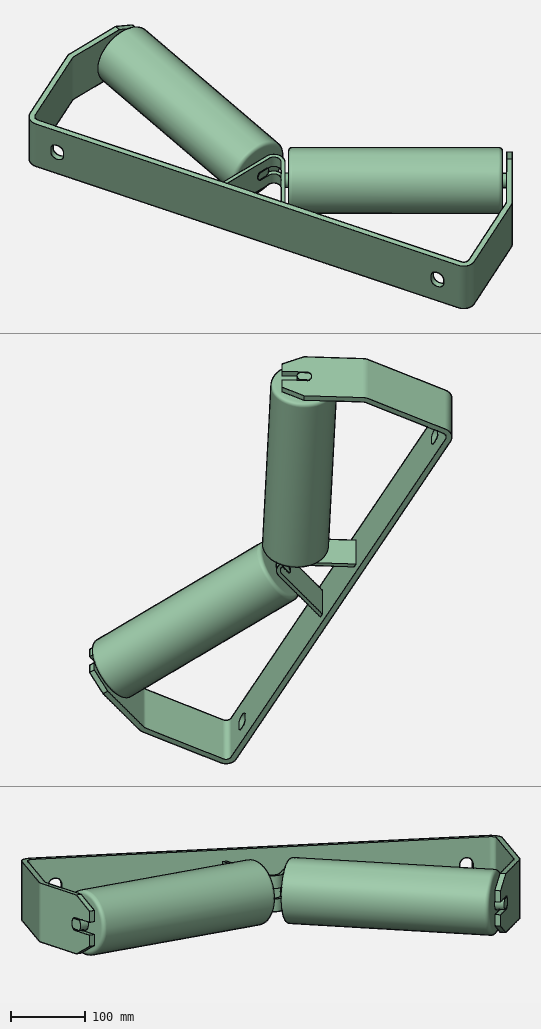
import cadquery as cq
import math

frame_length = 660.0
strip_width = 82.0
tilt = math.radians(25)
cos_tilt = math.cos(tilt)
sin_tilt = math.sin(tilt)

strip_thickness = 8.0
strip_bend_inner = 8.0
strip_bend_outer = strip_bend_inner + strip_thickness
arm_bend_height = 136.5
arm_tip_height = 239.0
tip_chamfer_along = 30.0
tip_chamfer_across = 16.5

mount_slot_inset = 47.5
mount_slot_width = 18.5
mount_slot_height = 26.5

bracket_width = 50.0
bracket_thickness = 5.0
crest_inner_radius = 10.0
crest_outer_radius = crest_inner_radius + bracket_thickness
crest_height = 99.5

roller_diameter = 89.0
roller_length = 288.5
roller_edge_radius = 5.0
roller_center_x = -152.5
roller_center_y = 145.0
shaft_radius = 10.0
shaft_flat_width = 14.5
shaft_recess = 1.0
arm_slot_width = 18.0
slot_reach = 66.0
slot_overrun = 6.5

half_length = frame_length / 2
crest_center_y = crest_height - crest_outer_radius


def along_roller(x, y):
    """Distance of the point (x, y) from the left roller's centre, measured along its axis."""
    return (x - roller_center_x) * cos_tilt - (y - roller_center_y) * sin_tilt


def square_plane(x, y):
    """Workplane at (x, y) facing along the left roller's axis, its own x pointing up the left arm."""
    return cq.Plane(origin=(x, y, 0), xDir=(sin_tilt, cos_tilt, 0), normal=(cos_tilt, -sin_tilt, 0))


def roller_section(distance):
    """Workplane square to the left roller's axis, at a signed distance from its centre."""
    return cq.Workplane(
        square_plane(roller_center_x + distance * cos_tilt, roller_center_y - distance * sin_tilt)
    )


arm_outer_face = along_roller(-half_length, arm_bend_height)
arm_inner_face = arm_outer_face + strip_thickness
leg_outer_face = along_roller(0, crest_center_y) - crest_outer_radius
shaft_inner_end = leg_outer_face + bracket_thickness - shaft_recess


def both_sides(left):
    """The left feature and its mirror image, as two shapes."""
    return [left, left.mirror("YZ")]


def mirrored_outline(left_points):
    """Close a left-hand outline with its mirror image and extrude it over the strip width."""
    right_points = [(-x, y) for x, y in reversed(left_points)]
    outline = cq.Workplane("XY").polyline(left_points + right_points).close()
    return outline.extrude(strip_width / 2, both=True)


def round_corners(body, corners, radius):
    """Round the upright edges at the given corners and at their mirror images."""
    for x, y in corners:
        for side in (1, -1):
            edge = cq.selectors.NearestToPointSelector((side * x, y, 0))
            body = body.edges("|Z").edges(edge).fillet(radius)
    return body


def plate_slot(start, length, width):
    """Open slot for the left shaft, through a plate that lies across the roller axis."""
    half_width = width / 2
    corner_depth = math.sqrt(shaft_radius**2 - half_width**2)
    return (
        roller_section(start)
        .moveTo(slot_reach, half_width)
        .lineTo(-corner_depth, half_width)
        .threePointArc((-shaft_radius, 0), (-corner_depth, -half_width))
        .lineTo(slot_reach, -half_width)
        .close()
        .extrude(length)
    )


def tip_chamfers(tip):
    """Wedges that trim the two corners of the left arm's tip."""
    half_width = strip_width / 2
    wedge = (
        cq.Workplane(square_plane(*tip))
        .moveTo(0, half_width)
        .lineTo(-tip_chamfer_along, half_width)
        .lineTo(0, half_width - tip_chamfer_across)
        .close()
        .extrude(strip_thickness)
    )
    return wedge.union(wedge.mirror("XY"))


def make_frame():
    """Strip bent into a tray, with slotted arms for the outer shaft ends."""
    arm_length = (arm_tip_height - arm_bend_height) / cos_tilt
    base_outer = (-half_length, 0)
    base_inner = (-half_length + strip_thickness, strip_thickness)
    bend_outer = (-half_length, arm_bend_height)
    bend_inner = (
        -half_length + strip_thickness,
        arm_bend_height - strip_thickness * math.tan(tilt / 2),
    )
    tip_outer = (-half_length + arm_length * sin_tilt, arm_tip_height)
    tip_inner = (tip_outer[0] + strip_thickness * cos_tilt, tip_outer[1] - strip_thickness * sin_tilt)

    frame = mirrored_outline([base_inner, bend_inner, tip_inner, tip_outer, bend_outer, base_outer])
    frame = round_corners(frame, [base_outer, bend_outer], strip_bend_outer)
    frame = round_corners(frame, [base_inner, bend_inner], strip_bend_inner)

    for wedge in both_sides(tip_chamfers(tip_outer)):
        frame = frame.cut(wedge)
    slot_length = strip_thickness + 2 * slot_overrun
    for slot in both_sides(plate_slot(arm_outer_face - slot_overrun, slot_length, arm_slot_width)):
        frame = frame.cut(slot)

    mount_slot_x = half_length - mount_slot_inset
    mount_slots = (
        cq.Workplane("XZ")
        .pushPoints([(-mount_slot_x, 0), (mount_slot_x, 0)])
        .slot2D(mount_slot_height, mount_slot_width, 90)
        .extrude(-strip_thickness)
    )
    return frame.cut(mount_slots)


def make_bracket():
    """Inverted V with a round crest, slotted for the inner shaft ends."""
    def foot(radius):
        return radius / cos_tilt + (crest_center_y - strip_thickness) * math.tan(tilt)

    def tangent(radius, side):
        return (side * radius * cos_tilt, crest_center_y + radius * sin_tilt)

    bracket = (
        cq.Workplane("XY")
        .moveTo(-foot(crest_outer_radius), strip_thickness)
        .lineTo(*tangent(crest_outer_radius, -1))
        .threePointArc((0, crest_height), tangent(crest_outer_radius, 1))
        .lineTo(foot(crest_outer_radius), strip_thickness)
        .lineTo(foot(crest_inner_radius), strip_thickness)
        .lineTo(*tangent(crest_inner_radius, 1))
        .threePointArc((0, crest_height - bracket_thickness), tangent(crest_inner_radius, -1))
        .lineTo(-foot(crest_inner_radius), strip_thickness)
        .close()
        .extrude(bracket_width / 2, both=True)
    )
    slot_length = bracket_thickness + slot_overrun
    for slot in both_sides(plate_slot(leg_outer_face, slot_length, shaft_flat_width)):
        bracket = bracket.cut(slot)
    return bracket


def make_left_roller():
    """Roller with a round shaft between the plates and flatted shaft ends inside their slots."""
    drum = roller_section(-roller_length / 2).circle(roller_diameter / 2).extrude(roller_length)
    drum = drum.edges("%CIRCLE").fillet(roller_edge_radius)
    round_length = leg_outer_face - arm_inner_face
    round_shaft = roller_section(arm_inner_face).circle(shaft_radius).extrude(round_length)
    shaft_length = shaft_inner_end - arm_outer_face
    flats = roller_section(arm_outer_face).rect(2 * shaft_radius, shaft_flat_width).extrude(shaft_length)
    flatted_shaft = roller_section(arm_outer_face).circle(shaft_radius).extrude(shaft_length)
    flatted_shaft = flatted_shaft.intersect(flats)
    return drum.union(round_shaft).union(flatted_shaft)


def make_roller_set():
    """Both rollers, joined by the centre bracket that carries their inner shaft ends."""
    roller_set = make_bracket()
    for roller in both_sides(make_left_roller()):
        roller_set = roller_set.union(roller)
    return roller_set


frame = make_frame()
roller_set = make_roller_set()
result = cq.Compound.makeCompound([frame.solids().val(), roller_set.solids().val()])